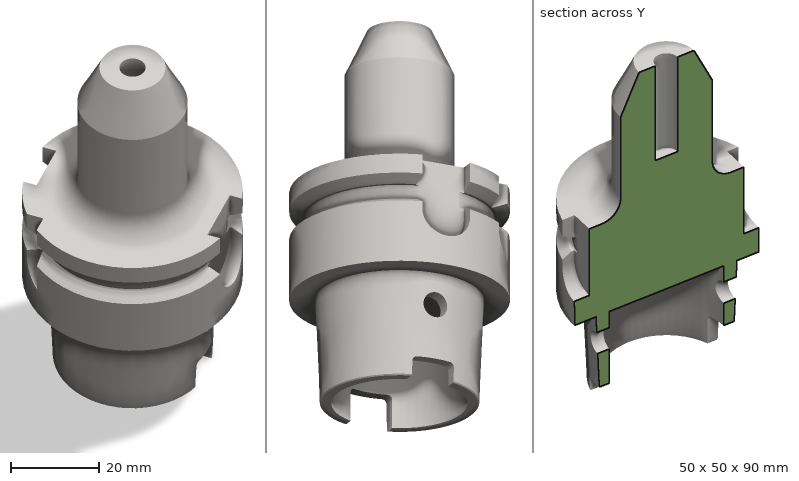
import cadquery as cq

FLANGE_RADIUS = 25.0
FLANGE_HEIGHT = 26.0

GROOVE_RADIUS = 21.5
GROOVE_BOTTOM = 16.0
GROOVE_TOP = 19.8
LOWER_FLANK_HEIGHT = 1.35
UPPER_FLANK_HEIGHT = 1.6
FLANK_SLOPE = 3 ** 0.5

NOSE_RADIUS = 12.5
NOSE_FILLET = 5.0
TIP_RADIUS = 7.5
TIP_HEIGHT = 10.7
NOSE_BORE_RADIUS = 3.0
NOSE_BORE_DEPTH = 27.0

TOTAL_HEIGHT = 90.0
SHANK_LENGTH = 25.0
SHANK_RADIUS = 19.2
SHANK_END_RADIUS = 18.1
END_CHAMFER = 0.3
SHANK_BORE_RADIUS = 15.5
CROSS_HOLE_RADIUS = 3.0
CROSS_HOLE_HEIGHT = -7.6

DRIVE_SLOT_WIDTH = 10.4
DRIVE_SLOT_CORNER = 1.1
LEFT_DRIVE_DEPTH = 4.6
RIGHT_DRIVE_DEPTH = 8.0

SLOT_BOTTOM = 7.0
SIDE_SLOT_FLOOR = 21.0
LEFT_SLOT_RADIUS = 6.0
RIGHT_SLOT_RADIUS = 6.9
NOTCH_OFFSET = 15.6

NOSE_TOP = TOTAL_HEIGHT - SHANK_LENGTH


def turned_body():
    """Solid of revolution: shank, grooved flange and nose."""
    lower_flank_radius = FLANGE_RADIUS - LOWER_FLANK_HEIGHT * FLANK_SLOPE
    upper_flank_radius = FLANGE_RADIUS - UPPER_FLANK_HEIGHT * FLANK_SLOPE
    profile = (
        cq.Workplane("XZ")
        .moveTo(0, -SHANK_LENGTH)
        .lineTo(SHANK_END_RADIUS - END_CHAMFER, -SHANK_LENGTH)
        .lineTo(SHANK_END_RADIUS, -SHANK_LENGTH + END_CHAMFER)
        .lineTo(SHANK_RADIUS, 0)
        .lineTo(FLANGE_RADIUS, 0)
        .lineTo(FLANGE_RADIUS, GROOVE_BOTTOM - LOWER_FLANK_HEIGHT)
        .lineTo(lower_flank_radius, GROOVE_BOTTOM)
        .lineTo(GROOVE_RADIUS, GROOVE_BOTTOM)
        .lineTo(GROOVE_RADIUS, GROOVE_TOP)
        .lineTo(upper_flank_radius, GROOVE_TOP)
        .lineTo(FLANGE_RADIUS, GROOVE_TOP + UPPER_FLANK_HEIGHT)
        .lineTo(FLANGE_RADIUS, FLANGE_HEIGHT)
        .lineTo(NOSE_RADIUS + NOSE_FILLET, FLANGE_HEIGHT)
        .radiusArc((NOSE_RADIUS, FLANGE_HEIGHT + NOSE_FILLET), NOSE_FILLET)
        .lineTo(NOSE_RADIUS, NOSE_TOP - TIP_HEIGHT)
        .lineTo(TIP_RADIUS, NOSE_TOP)
        .lineTo(0, NOSE_TOP)
        .close()
    )
    return profile.revolve(360, (0, 0, 0), (0, 1, 0))


def bores():
    """Blind nose bore, hollow of the shank and the cross hole through it."""
    nose_bore = (
        cq.Workplane("XY", origin=(0, 0, NOSE_TOP))
        .circle(NOSE_BORE_RADIUS)
        .extrude(-NOSE_BORE_DEPTH)
    )
    shank_bore = (
        cq.Workplane("XY", origin=(0, 0, -SHANK_LENGTH))
        .circle(SHANK_BORE_RADIUS)
        .extrude(SHANK_LENGTH)
    )
    cross_hole = (
        cq.Workplane("YZ")
        .center(0, CROSS_HOLE_HEIGHT)
        .circle(CROSS_HOLE_RADIUS)
        .extrude(FLANGE_RADIUS, both=True)
    )
    return nose_bore.union(shank_bore).union(cross_hole)


def drive_slot(side, depth):
    """Slot with rounded upper corners in the shank end, on the side -1 or +1 of X."""
    return (
        cq.Workplane("XY", origin=(side * FLANGE_RADIUS / 2, 0, -SHANK_LENGTH))
        .box(FLANGE_RADIUS, DRIVE_SLOT_WIDTH, 2 * depth)
        .edges("|X and >Z")
        .fillet(DRIVE_SLOT_CORNER)
    )


def flange_slot(side, floor, y_center, radius):
    """Round-bottomed slot, open at the flange top, cut inward along X to a flat floor."""
    arc_height = SLOT_BOTTOM + radius
    return (
        cq.Workplane("YZ", origin=(side * floor, 0, 0))
        .moveTo(y_center - radius, FLANGE_HEIGHT)
        .lineTo(y_center - radius, arc_height)
        .threePointArc((y_center, SLOT_BOTTOM), (y_center + radius, arc_height))
        .lineTo(y_center + radius, FLANGE_HEIGHT)
        .close()
        .extrude(side * FLANGE_RADIUS)
    )


notch_center = -(NOTCH_OFFSET + LEFT_SLOT_RADIUS)

result = (
    turned_body()
    .cut(bores())
    .cut(drive_slot(-1, LEFT_DRIVE_DEPTH))
    .cut(drive_slot(1, RIGHT_DRIVE_DEPTH))
    .cut(flange_slot(-1, SIDE_SLOT_FLOOR, 0, LEFT_SLOT_RADIUS))
    .cut(flange_slot(1, SIDE_SLOT_FLOOR, 0, RIGHT_SLOT_RADIUS))
    .cut(flange_slot(-1, NOTCH_OFFSET, notch_center, LEFT_SLOT_RADIUS))
)